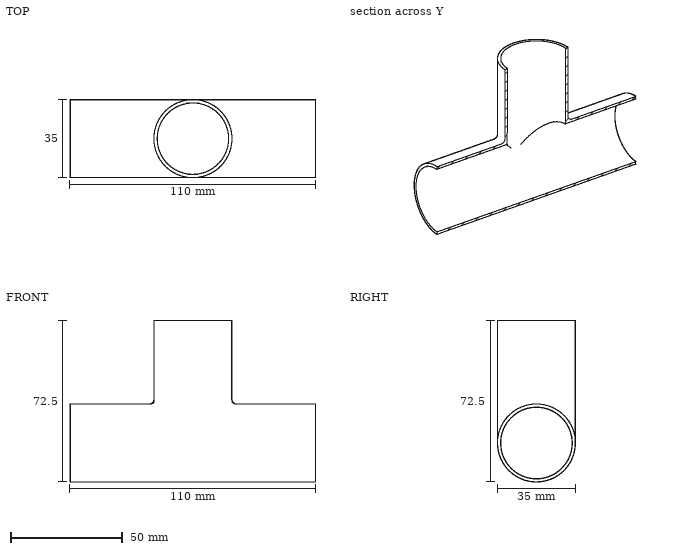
import cadquery as cq

outer_diameter = 35.0
bore_diameter = 32.0
run_length = 110.0
branch_height = 55.0
junction_fillet = 2.0

fillet_end_gap = 0.1
fillet_zone_width = outer_diameter - 2 * fillet_end_gap
fillet_zone_length = 2 * run_length


def make_tee(diameter):
    """Solid tee made of two round bars of the same diameter."""
    run = cq.Workplane("YZ").circle(diameter / 2).extrude(run_length / 2, both=True)
    branch = cq.Workplane("XY").circle(diameter / 2).extrude(branch_height)
    return run.union(branch)


def fillet_junction(tee):
    """Round the crease between run and branch, leaving the two tangent points sharp."""
    zone = cq.Workplane("XY").box(fillet_zone_length, fillet_zone_width, fillet_zone_length)
    tangent_slivers = tee.cut(zone)
    filleted_middle = tee.intersect(zone).edges("%ELLIPSE").fillet(junction_fillet)
    return filleted_middle.union(tangent_slivers)


outer_body = fillet_junction(make_tee(outer_diameter))
bores = make_tee(bore_diameter)

result = outer_body.cut(bores)